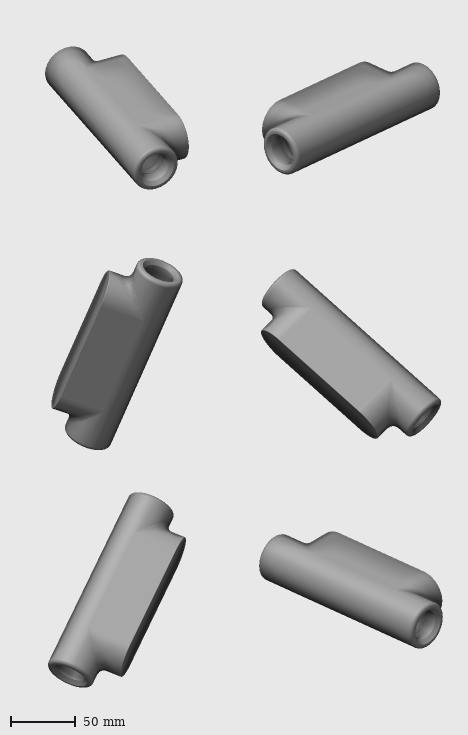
import cadquery as cq

length = 158.2
outer_diameter = 38.1
overall_width = 55.0
chamber_straight_length = 86.7
blend_radius = 6.0
end_rounding = 3.0
rim_rounding = 0.5

mouth_diameter = 29.7
mouth_depth = 3.2
socket_entry_diameter = 23.9
socket_end_diameter = 23.3
socket_depth = 13.0
collar_diameter = 22.6
collar_length = 1.6
throat_diameter = 21.0
throat_length = 4.7

half_length = length / 2
outer_radius = outer_diameter / 2
rim_y = overall_width - outer_radius
chamber_length = chamber_straight_length + outer_diameter


def make_tube():
    """Main tube along X with rounded outer ends."""
    tube = cq.Workplane("YZ").circle(outer_radius).extrude(half_length, both=True)
    return tube.faces("<X or >X").edges().fillet(end_rounding)


def make_chamber():
    """Chamber with half-round ends, rising from the tube axis to the rounded +Y rim."""
    chamber = cq.Workplane("XZ").slot2D(chamber_length, outer_diameter).extrude(-rim_y)
    return chamber.faces(">Y").edges().fillet(rim_rounding)


def make_body():
    """Tube and chamber joined, with the curved seams at both chamber ends blended."""
    body = make_tube().union(make_chamber())
    return body.edges("%ELLIPSE").fillet(blend_radius)


def make_half_bore():
    """Bore from the +X end to the middle: flared mouth, socket, step, crowned throat, plain bore."""
    collar_radius = collar_diameter / 2
    mouth_end_x = half_length - mouth_depth
    socket_end_x = half_length - socket_depth
    throat_start_x = socket_end_x - collar_length
    throat_mid_x = throat_start_x - throat_length / 2
    throat_end_x = throat_start_x - throat_length
    return (
        cq.Workplane("XY")
        .lineTo(half_length, 0)
        .lineTo(half_length, mouth_diameter / 2)
        .lineTo(mouth_end_x, socket_entry_diameter / 2)
        .lineTo(socket_end_x, socket_end_diameter / 2)
        .lineTo(socket_end_x, collar_radius)
        .lineTo(throat_start_x, collar_radius)
        .threePointArc((throat_mid_x, throat_diameter / 2), (throat_end_x, collar_radius))
        .lineTo(0, collar_radius)
        .close()
        .revolve(360, (0, 0, 0), (1, 0, 0))
    )


half_bore = make_half_bore()
result = make_body().cut(half_bore).cut(half_bore.mirror("YZ"))